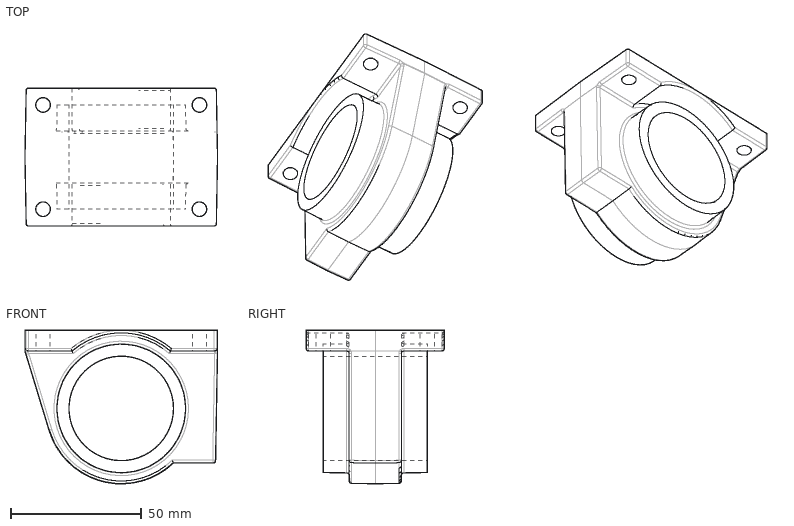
import cadquery as cq
import math

DRAFT = 1.0
CORNER_RADIUS = 1.0
EDGE_RADIUS = 0.98

PAD_HALF_LENGTH = 36.99
PAD_HALF_WIDTH = 26.5
PAD_THICKNESS = 8.0

BORE_RADIUS = 20.0
BORE_DROP = 30.0
BOSS_RADIUS = 25.0
BOSS_HALF_LENGTH = 20.0

WEB_RADIUS = 29.0
WEB_HALF_THICKNESS = 10.0
FOOT_DROP = 21.0

BOLT_DIAMETER = 5.5
BOLT_SPACING_X = 60.0
BOLT_SPACING_Y = 40.0

DRAFT_SLOPE = math.tan(math.radians(DRAFT))
CORNER_HEIGHT = BORE_DROP - PAD_THICKNESS

FLANK_TOUCH_ANGLE = math.atan2(CORNER_HEIGHT, -PAD_HALF_LENGTH) + math.acos(
    WEB_RADIUS / math.hypot(PAD_HALF_LENGTH, CORNER_HEIGHT)
)
FLANK_TILT = FLANK_TOUCH_ANGLE - math.pi
FOOT_TILT = math.radians(DRAFT)
TOLERANCE = 0.01


def half_pad():
    """Front half of the pad: ends drafted to meet the web's sides, relieved around the boss."""
    left_end = -PAD_HALF_LENGTH + PAD_HALF_WIDTH * DRAFT_SLOPE / math.cos(FLANK_TILT)
    right_end = PAD_HALF_LENGTH - PAD_HALF_WIDTH * DRAFT_SLOPE / math.cos(FOOT_TILT)
    pad = (
        cq.Workplane("XY")
        .moveTo(-PAD_HALF_LENGTH, 0)
        .lineTo(PAD_HALF_LENGTH, 0)
        .lineTo(right_end, -PAD_HALF_WIDTH)
        .lineTo(left_end, -PAD_HALF_WIDTH)
        .close()
        .extrude(-PAD_THICKNESS)
    )
    relief = (
        cq.Workplane("XZ", origin=(0, -WEB_HALF_THICKNESS, -BORE_DROP))
        .circle(WEB_RADIUS)
        .extrude(PAD_HALF_WIDTH)
    )
    return pad.cut(relief)


def drafted_half(outline):
    """Extrude an outline from the parting plane to the web's front face, narrowing by the draft."""
    return outline.close().extrude(WEB_HALF_THICKNESS, taper=DRAFT)


def half_web():
    """Front half of the web below the pad: rounded rim, sloping flank and square foot."""
    plane = cq.Workplane("XZ", origin=(0, 0, -BORE_DROP))
    overrun = PAD_THICKNESS
    trim_height = CORNER_HEIGHT + overrun
    rim = drafted_half(
        plane.moveTo(-PAD_HALF_LENGTH - overrun * math.tan(FLANK_TILT), trim_height)
        .lineTo(WEB_RADIUS * math.cos(FLANK_TOUCH_ANGLE), WEB_RADIUS * math.sin(FLANK_TOUCH_ANGLE))
        .threePointArc((0, -WEB_RADIUS), (WEB_RADIUS, 0))
        .lineTo(WEB_RADIUS, trim_height)
    )
    foot = drafted_half(
        plane.moveTo(0, trim_height)
        .lineTo(0, -FOOT_DROP)
        .lineTo(PAD_HALF_LENGTH - (CORNER_HEIGHT + FOOT_DROP) * math.tan(FOOT_TILT), -FOOT_DROP)
        .lineTo(PAD_HALF_LENGTH + overrun * math.tan(FOOT_TILT), trim_height)
    )
    trim = cq.Workplane("XY", origin=(0, 0, -PAD_THICKNESS)).box(
        2 * (PAD_HALF_LENGTH + overrun), 2 * PAD_HALF_WIDTH, 2 * overrun, centered=(True, True, False)
    )
    return rim.union(foot).cut(trim)


def edges_inside(body, low, high):
    """Edges of the body lying wholly between two corners."""
    found = []
    for edge in body.edges().vals():
        box = edge.BoundingBox()
        edge_low = (box.xmin, box.ymin, box.zmin)
        edge_high = (box.xmax, box.ymax, box.zmax)
        above = all(e > limit - TOLERANCE for e, limit in zip(edge_low, low))
        below = all(e < limit + TOLERANCE for e, limit in zip(edge_high, high))
        if above and below:
            found.append(edge)
    return found


def is_along_y(edge):
    """True for an edge that runs mainly in the Y direction."""
    box = edge.BoundingBox()
    return box.ylen > max(box.xlen, box.zlen)


def fillet(body, edges, radius):
    """Round the given edges of the body's solid."""
    return cq.Workplane(body.findSolid().fillet(radius, edges))


def round_pad_to_web(body):
    """Inside corner where the pad's underside and the relief meet the web's front face."""
    corner = edges_inside(
        body,
        (-PAD_HALF_LENGTH, -WEB_HALF_THICKNESS, -PAD_THICKNESS),
        (PAD_HALF_LENGTH, -WEB_HALF_THICKNESS, 0),
    )
    return fillet(body, corner, CORNER_RADIUS)


def round_outside_edges(body):
    """Web outline, foot corner, and the pad's lower edges, relief rim and upright corners."""
    web_front = -WEB_HALF_THICKNESS
    pad_front = -PAD_HALF_WIDTH
    underside = -PAD_THICKNESS
    lowest = -BORE_DROP - WEB_RADIUS
    web_top = underside - CORNER_RADIUS
    end = PAD_HALF_LENGTH

    web_face_edges = edges_inside(body, (-end, web_front, lowest), (end, web_front, web_top))
    web_outline = [edge for edge in web_face_edges if edge.BoundingBox().zmin < web_top - TOLERANCE]

    foot_outline = edges_inside(body, (WEB_RADIUS, web_front, lowest), (end, 0, web_top))
    foot_corner = [edge for edge in foot_outline if is_along_y(edge)]

    pad_front_outline = edges_inside(body, (-end, pad_front, underside), (end, pad_front, 0))
    pad_front_edges = [edge for edge in pad_front_outline if edge.Center().z < -TOLERANCE]

    pad_sides = [
        edge
        for edge in edges_inside(body, (-end, pad_front, underside), (end, web_front, underside))
        if is_along_y(edge) and abs(edge.Center().x) > WEB_RADIUS
    ]
    return fillet(body, web_outline + foot_corner + pad_front_edges + pad_sides, EDGE_RADIUS)


def boss():
    """Boss on the bore axis, drafted both ways from the parting plane."""
    half = (
        cq.Workplane("XZ", origin=(0, 0, -BORE_DROP))
        .circle(BOSS_RADIUS)
        .extrude(BOSS_HALF_LENGTH, taper=DRAFT)
    )
    return half.union(half.mirror("XZ"))


def round_boss_roots(body):
    """Inside corner where the boss leaves each face of the web."""
    root_radius = BOSS_RADIUS - WEB_HALF_THICKNESS * DRAFT_SLOPE
    roots = []
    for y in (-WEB_HALF_THICKNESS, WEB_HALF_THICKNESS):
        roots += edges_inside(
            body,
            (-root_radius, y, -BORE_DROP - root_radius),
            (root_radius, y, -BORE_DROP + root_radius),
        )
    return fillet(body, roots, CORNER_RADIUS)


def bore():
    """Straight bore through the full length of the boss."""
    return (
        cq.Workplane("XZ", origin=(0, 0, -BORE_DROP))
        .circle(BORE_RADIUS)
        .extrude(BOSS_HALF_LENGTH, both=True)
    )


def bolt_holes():
    """Four plain holes through the pad."""
    return (
        cq.Workplane("XY")
        .rect(BOLT_SPACING_X, BOLT_SPACING_Y, forConstruction=True)
        .vertices()
        .circle(BOLT_DIAMETER / 2)
        .extrude(-PAD_THICKNESS)
    )


front_half = half_pad().union(half_web())
front_half = round_pad_to_web(front_half)
front_half = round_outside_edges(front_half)

casting = front_half.union(front_half.mirror("XZ"))
casting = round_boss_roots(casting.union(boss()))
result = casting.cut(bore()).cut(bolt_holes())